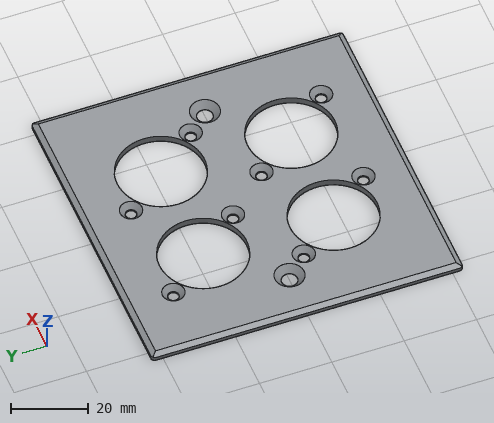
import cadquery as cq

plate_side = 86.0
plate_thickness = 2.0
corner_radius = 1.0
bevel_width = 1.5
bevel_height = 0.9
edge_height = plate_thickness - bevel_height

opening_diameter = 24.0
opening_pitch_x = 30.0
opening_pitch_y = 36.0

fixing_offset_x = 9.55
fixing_offset_y = 11.95
fixing_diameter = 3.0
fixing_sink_diameter = 6.0

mounting_spacing = 60.0
mounting_diameter = 4.3
mounting_sink_diameter = 8.0

countersink_angle = 90.0


def bevelled_plate():
    """Plate resting on Z = 0, its top face bevelled on all four sides."""
    base_overhang = edge_height * bevel_width / bevel_height
    lower_side = plate_side + 2 * base_overhang
    upper_side = plate_side - 2 * bevel_width
    pyramid = (
        cq.Workplane("XY")
        .rect(lower_side, lower_side)
        .workplane(offset=plate_thickness)
        .rect(upper_side, upper_side)
        .loft(ruled=True)
    )
    block = (
        cq.Workplane("XY")
        .rect(plate_side, plate_side)
        .extrude(plate_thickness)
        .edges("|Z")
        .fillet(corner_radius)
    )
    return block.intersect(pyramid)


def countersunk_holes(body, points, diameter, sink_diameter):
    """Drill countersunk through holes from the top face."""
    return (
        body.faces(">Z")
        .workplane(origin=(0, 0, plate_thickness))
        .pushPoints(points)
        .cskHole(diameter, sink_diameter, countersink_angle)
    )


opening_centres = [
    (side_x * opening_pitch_x / 2, side_y * opening_pitch_y / 2)
    for side_x in (-1, 1)
    for side_y in (-1, 1)
]
fixing_points = [
    (x + sign * fixing_offset_x, y - sign * fixing_offset_y)
    for x, y in opening_centres
    for sign in (-1, 1)
]
mounting_points = [(sign * mounting_spacing / 2, 0) for sign in (-1, 1)]

plate = bevelled_plate()
plate = (
    plate.faces(">Z")
    .workplane(origin=(0, 0, plate_thickness))
    .pushPoints(opening_centres)
    .hole(opening_diameter)
)
plate = countersunk_holes(plate, fixing_points, fixing_diameter, fixing_sink_diameter)
plate = countersunk_holes(plate, mounting_points, mounting_diameter, mounting_sink_diameter)

result = plate